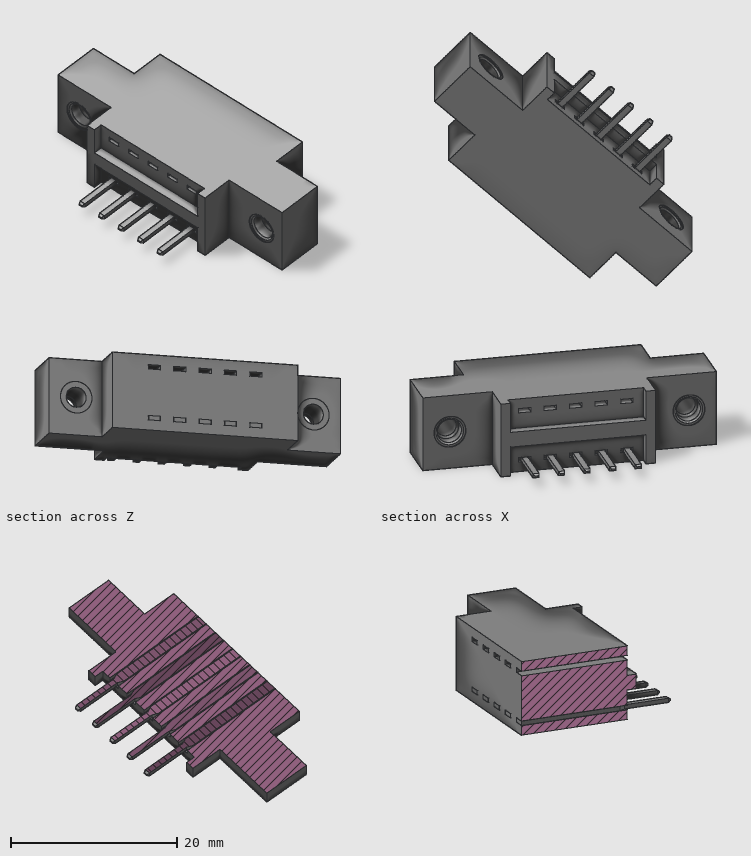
import cadquery as cq

HEIGHT = 9.4
HOUSING_LENGTH = 15.27
MATING_WIDTH = 23.2
PIN_SIDE_WIDTH = 19.2

FLANGE_WIDTH = 36.45
FLANGE_FRONT = 4.3
FLANGE_THICKNESS = 6.35
FLANGE_BACK = FLANGE_FRONT + FLANGE_THICKNESS

RECESS_WIDTH = 16.8
RECESS_DEPTH = 1.2
BAR_HEIGHT = 1.9

SLOT_COUNT = 5
SLOT_PITCH = 3.17
SLOT_WIDTH = 1.53
SLOT_HEIGHT = 0.55
ROW_OFFSET = 3.17
SLOT_XS = [(i - (SLOT_COUNT - 1) / 2) * SLOT_PITCH for i in range(SLOT_COUNT)]

TAIL_WIDTH = 0.75
TAIL_PROTRUSION = 4.75
TIP_LENGTH = 0.33
TIP_SIDE_INSET = 0.15
TIP_FLAT_INSET = 0.2
BLADE_WIDTH = 1.42
SHOULDER_START = 1.45
SHOULDER_LENGTH = 0.73

BUSHING_SPACING = 29.67
BUSHING_RADIUS = 1.97
MOUTH_RADIUS = 1.7
BORE_RADIUS = 1.5
HOLE_RADIUS = 1.25
BUSHING_RECESS = 0.15
MOUTH_CHAMFER_LENGTH = 0.22
BORE_END = 1.68
CONE_LENGTH = 0.3
BUSHING_XS = [-BUSHING_SPACING / 2, BUSHING_SPACING / 2]


def block(width, y_start, y_end, z_bottom, z_top, x_center=0):
    """Box centred on x_center, given by its Y and Z limits."""
    return (
        cq.Workplane("XY")
        .box(width, y_end - y_start, z_top - z_bottom, centered=(True, False, False))
        .translate((x_center, y_start, z_bottom))
    )


def full_height_block(width, y_start, y_end):
    return block(width, y_start, y_end, -HEIGHT / 2, HEIGHT / 2)


def slot_opening(x, z):
    """Contact slot through the whole housing."""
    return block(SLOT_WIDTH, 0, HOUSING_LENGTH, z - SLOT_HEIGHT / 2, z + SLOT_HEIGHT / 2, x)


def bushing_hole(x):
    """Through hole in the flange at x that receives a bushing."""
    axis_start = cq.Vector(x, FLANGE_FRONT, 0)
    return cq.Workplane(
        cq.Solid.makeCylinder(BUSHING_RADIUS, FLANGE_THICKNESS, axis_start, cq.Vector(0, 1, 0))
    )


def make_housing():
    body = full_height_block(PIN_SIDE_WIDTH, 0, FLANGE_FRONT)
    body = body.union(full_height_block(FLANGE_WIDTH, FLANGE_FRONT, FLANGE_BACK))
    body = body.union(full_height_block(MATING_WIDTH, FLANGE_BACK, HOUSING_LENGTH))
    body = body.cut(block(RECESS_WIDTH, 0, RECESS_DEPTH, BAR_HEIGHT / 2, HEIGHT / 2))
    body = body.cut(block(RECESS_WIDTH, 0, RECESS_DEPTH, -HEIGHT / 2, -BAR_HEIGHT / 2))
    for x in SLOT_XS:
        for z in (-ROW_OFFSET, ROW_OFFSET):
            body = body.cut(slot_opening(x, z))
    for x in BUSHING_XS:
        body = body.cut(bushing_hole(x))
    return body


def make_pin(x):
    half_tail = TAIL_WIDTH / 2
    half_blade = BLADE_WIDTH / 2
    tip_base = -TAIL_PROTRUSION + TIP_LENGTH
    shoulder_end = SHOULDER_START + SHOULDER_LENGTH
    right_side = [
        (half_tail, tip_base),
        (half_tail, SHOULDER_START),
        (half_blade, shoulder_end),
        (half_blade, HOUSING_LENGTH),
    ]
    left_side = [(-px, py) for px, py in reversed(right_side)]
    pin = (
        cq.Workplane("XY")
        .polyline(right_side + left_side)
        .close()
        .extrude(SLOT_HEIGHT)
        .translate((0, 0, -SLOT_HEIGHT / 2))
    )
    tip = (
        cq.Workplane("XZ", origin=(0, tip_base, 0))
        .rect(TAIL_WIDTH, SLOT_HEIGHT)
        .workplane(offset=TIP_LENGTH)
        .rect(TAIL_WIDTH - 2 * TIP_SIDE_INSET, SLOT_HEIGHT - 2 * TIP_FLAT_INSET)
        .loft(ruled=True)
    )
    return pin.union(tip).translate((x, 0, -ROW_OFFSET))


def make_bushing(x):
    """Sleeve with a chamfered bore that narrows through a cone to a through hole."""
    profile = [
        (BUSHING_RADIUS, BUSHING_RECESS),
        (MOUTH_RADIUS, BUSHING_RECESS),
        (BORE_RADIUS, BUSHING_RECESS + MOUTH_CHAMFER_LENGTH),
        (BORE_RADIUS, BORE_END),
        (HOLE_RADIUS, BORE_END + CONE_LENGTH),
        (HOLE_RADIUS, FLANGE_THICKNESS),
        (BUSHING_RADIUS, FLANGE_THICKNESS),
    ]
    sleeve = cq.Workplane("XY").polyline(profile).close().revolve(360, (0, 0), (0, 1))
    return sleeve.translate((x, FLANGE_FRONT, 0))


housing = make_housing()
pins = [make_pin(x) for x in SLOT_XS]
bushings = [make_bushing(x) for x in BUSHING_XS]

result = cq.Compound.makeCompound(
    [housing.val()] + [pin.val() for pin in pins] + [bushing.val() for bushing in bushings]
)